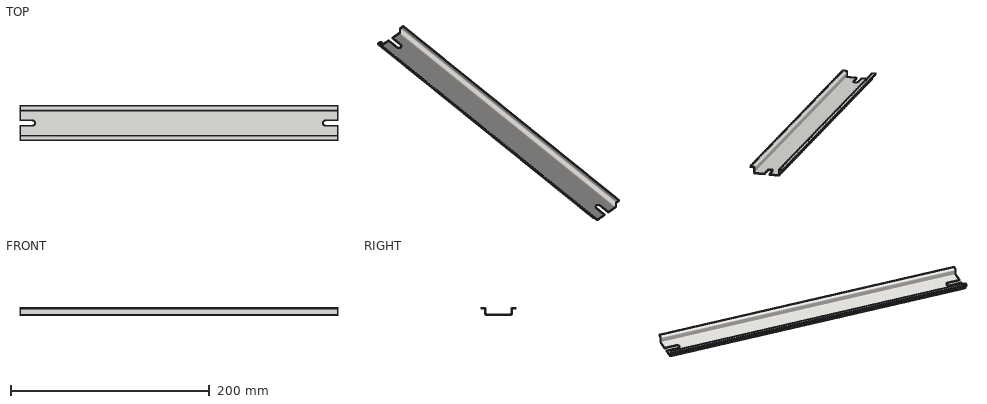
import cadquery as cq

length = 320.0
width = 35.0
height = 7.5

thickness = 1.0
channel_width = 27.2
inner_radius = 0.7
outer_radius = inner_radius + thickness

slot_width = 5.0
slot_depth = 15.0


def make_rail():
    """Extrude the hat section along X, centred on the origin in X and Y."""
    half_width = width / 2
    wall_outer = channel_width / 2
    wall_inner = wall_outer - thickness
    section = [
        (-half_width, height),
        (-wall_inner, height),
        (-wall_inner, thickness),
        (wall_inner, thickness),
        (wall_inner, height),
        (half_width, height),
        (half_width, height - thickness),
        (wall_outer, height - thickness),
        (wall_outer, 0),
        (-wall_outer, 0),
        (-wall_outer, height - thickness),
        (-half_width, height - thickness),
    ]
    rail = cq.Workplane("YZ").polyline(section).close().extrude(length / 2, both=True)

    for side in (-1, 1):
        bends = [
            (wall_inner, height, outer_radius),
            (wall_outer, height - thickness, inner_radius),
            (wall_inner, thickness, inner_radius),
            (wall_outer, 0, outer_radius),
        ]
        for y, z, radius in bends:
            edge = cq.selectors.NearestToPointSelector((0, side * y, z))
            rail = rail.edges("|X").edges(edge).fillet(radius)
    return rail


def make_slot(side):
    """Round-bottomed slot cutter, running in from one end of the web."""
    radius = slot_width / 2
    end_x = side * length / 2
    arc_start_x = end_x - side * (slot_depth - radius)
    tip_x = end_x - side * slot_depth
    return (
        cq.Workplane("XY")
        .moveTo(end_x, -radius)
        .lineTo(arc_start_x, -radius)
        .threePointArc((tip_x, 0), (arc_start_x, radius))
        .lineTo(end_x, radius)
        .close()
        .extrude(height)
    )


result = make_rail()
for end in (-1, 1):
    result = result.cut(make_slot(end))